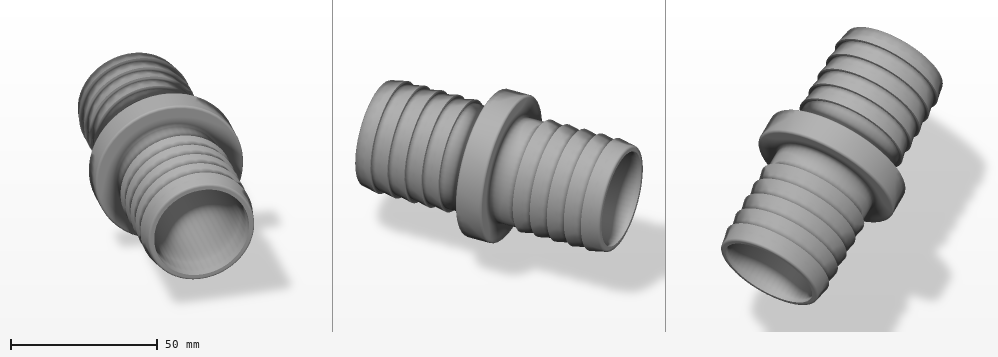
import cadquery as cq

length = 91.2
bore_diameter = 33.6
neck_diameter = 37.3

barb_count = 5
barbed_length = 31.7
barb_pitch = barbed_length / barb_count
barb_tip_diameter = 39.85

flange_diameter = 52.3
flange_width = 9.7

edge_radius = 0.8

half_length = length / 2


def left_profile():
    """Half outline as (x, radius) points, from the left tube end to the flange rim."""
    neck_radius = neck_diameter / 2
    tip_radius = barb_tip_diameter / 2
    flange_face_x = -flange_width / 2

    points = [(-half_length, neck_radius)]
    for barb in range(1, barb_count + 1):
        tip_x = -half_length + barb * barb_pitch
        points += [(tip_x, tip_radius), (tip_x, neck_radius)]
    points += [(flange_face_x, neck_radius), (flange_face_x, flange_diameter / 2)]
    return points


def solid_body():
    """Barbed spigots and flange, all edges sharp, revolved about X."""
    left = left_profile()
    right = [(-x, radius) for x, radius in reversed(left)]
    axis_ends = [(half_length, 0), (-half_length, 0)]
    outline = cq.Workplane("XY").polyline(left + right + axis_ends).close()
    return outline.revolve(360, (0, 0, 0), (1, 0, 0))


def round_flange(body):
    """Round the flange rims and blend the flange faces into the necks."""
    flange_zone = cq.selectors.BoxSelector(
        (-flange_width, -flange_diameter, -flange_diameter),
        (flange_width, flange_diameter, flange_diameter),
    )
    return body.edges("%CIRCLE").edges(flange_zone).fillet(edge_radius)


def round_tube_ends(body):
    """Round the outer edge of both tube ends."""
    return body.faces("<X or >X").edges().fillet(edge_radius)


def bore():
    """Plain bore through the whole length."""
    start = cq.Workplane("YZ", origin=(-half_length, 0, 0))
    return start.circle(bore_diameter / 2).extrude(length)


body = round_tube_ends(round_flange(solid_body()))
result = body.cut(bore())